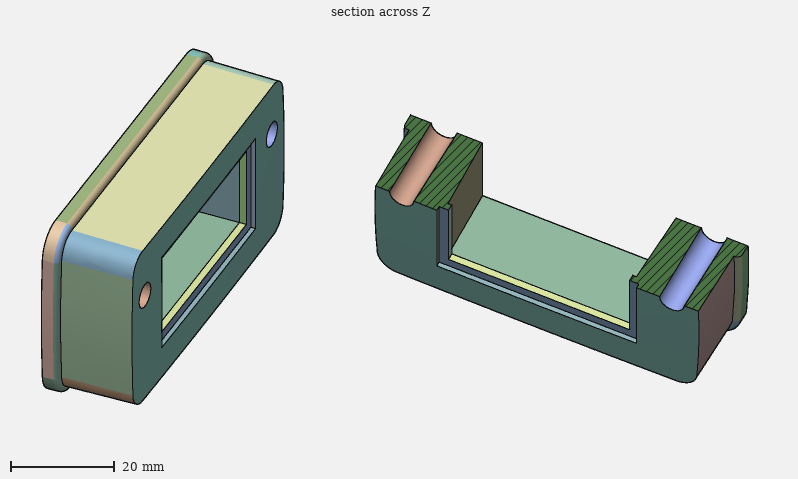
import cadquery as cq
import math

total_depth = 18.79
width = 72.8
height = 39.0

end_bow_radius = 200.0
corner_radius = 6.0
flange_thickness = 3.5
flange_edge_fillet = 1.0

body_inset = 1.35

wall_draft = 1.0

dome_radius = 2500.0

pocket_width = 41.5
pocket_height = 19.9
pocket_draft = 2.0
pocket_depth = 16.2
lip_thickness = 1.5
window_width = 38.8
window_height = 17.5
recess_margin = 2.0
recess_width = window_width + 2 * recess_margin
recess_height = window_height + 2 * recess_margin

dome_peak = total_depth + dome_radius - math.sqrt(dome_radius**2 - (recess_height / 2) ** 2)

hole_diameter = 5.5
hole_draft = 0.5
hole_spacing = 58.0
hole_height = 6.7


def rounded_outline(inset, x):
    """Closed outline on the plane at the given X, set in evenly from the flange outline.

    The round corners run tangent into the straight long sides and the bowed ends.
    """
    half_width = width / 2 - inset
    half_height = height / 2 - inset
    bow_radius = end_bow_radius - inset
    round_radius = corner_radius - inset
    bow_center_y = half_width - bow_radius
    corner_z = half_height - round_radius
    corner_y = bow_center_y + math.sqrt((bow_radius - round_radius) ** 2 - corner_z**2)
    touch_angle = math.atan2(corner_z, corner_y - bow_center_y)
    touch_y = bow_center_y + bow_radius * math.cos(touch_angle)
    touch_z = bow_radius * math.sin(touch_angle)
    middle_angle = (touch_angle + math.pi / 2) / 2
    middle_y = corner_y + round_radius * math.cos(middle_angle)
    middle_z = corner_z + round_radius * math.sin(middle_angle)
    return (
        cq.Workplane("YZ", origin=(x, 0, 0))
        .moveTo(-corner_y, -half_height)
        .lineTo(corner_y, -half_height)
        .threePointArc((middle_y, -middle_z), (touch_y, -touch_z))
        .threePointArc((half_width, 0), (touch_y, touch_z))
        .threePointArc((middle_y, middle_z), (corner_y, half_height))
        .lineTo(-corner_y, half_height)
        .threePointArc((-middle_y, middle_z), (-touch_y, touch_z))
        .threePointArc((-half_width, 0), (-touch_y, -touch_z))
        .threePointArc((-middle_y, -middle_z), (-corner_y, -half_height))
        .close()
    )


def make_flange():
    blank = rounded_outline(0, 0).extrude(flange_thickness, taper=wall_draft)
    return blank.faces(">X").edges().fillet(flange_edge_fillet)


def make_dome():
    """Solid of revolution about X whose rear face is the shallow dome."""
    rim_x = dome_peak - dome_radius + math.sqrt(dome_radius**2 - width**2)
    half_angle = math.asin(width / dome_radius) / 2
    middle_x = dome_peak - dome_radius * (1 - math.cos(half_angle))
    middle_y = dome_radius * math.sin(half_angle)
    return (
        cq.Workplane("XY")
        .lineTo(0, width)
        .lineTo(rim_x, width)
        .threePointArc((middle_x, middle_y), (dome_peak, 0))
        .close()
        .revolve(360, (0, 0, 0), (1, 0, 0))
    )


def make_body():
    body_depth = dome_peak - flange_thickness
    blank = rounded_outline(body_inset, flange_thickness).extrude(body_depth, taper=wall_draft)
    return blank.intersect(make_dome())


def make_opening():
    pocket = cq.Workplane("YZ").rect(pocket_width, pocket_height).extrude(pocket_depth, taper=pocket_draft)
    window = cq.Workplane("YZ").rect(window_width, window_height).extrude(dome_peak)
    recess_floor = pocket_depth + lip_thickness
    recess = (
        cq.Workplane("YZ", origin=(recess_floor, 0, 0))
        .rect(recess_width, recess_height)
        .extrude(dome_peak - recess_floor)
    )
    return pocket.union(window).union(recess)


def make_holes():
    return (
        cq.Workplane("YZ")
        .pushPoints([(-hole_spacing / 2, hole_height), (hole_spacing / 2, hole_height)])
        .circle(hole_diameter / 2)
        .extrude(dome_peak, taper=hole_draft)
    )


result = make_flange().union(make_body()).cut(make_opening()).cut(make_holes())